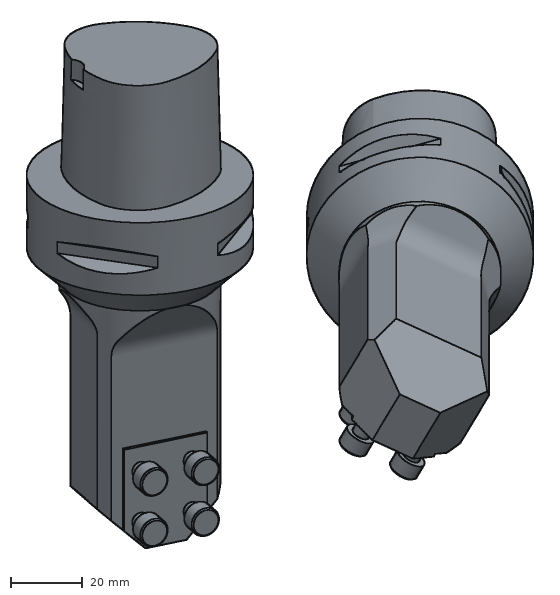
import cadquery as cq
import math

top_z = 37.8
tip_z = top_z - 144.3

lobe_radius = 15.0
lobe_offset = 8.4
flank_reach = 20.5
taper_angle = math.degrees(math.atan(1 / 40))
notch_radius = 5.0
notch_wall_y = -17.7
notch_depth = 6.2

flange_diameter = 63.0
neck_diameter = 45.0
flange_height = 22.2
cone_height = (flange_diameter - neck_diameter) / 2
neck_z = -flange_height - cone_height

groove_reach = 27.8
groove_z = -12.3
groove_floor_height = 3.5
groove_wall_angle = 30

blend_radius = 10.0
blend_top_z = -35.6
back_reach = 11.3
side_reach = 19.0
diagonal_reach = 17.5
diagonal_turn = 47.6
front_reach = 15.5
front_blend_bottom_z = -45.9
back_slope = 60
side_slope = 30
diagonal_slope = 40.5

tip_bevel_angle = 30
tip_bevel_end_x = 0
tip_half_width = 6.3

pad_thickness = 1.0
pad_height = 31.6
pad_width = 25.7
screw_heights = (8.8, 24.4)
screw_side = 8.0
screw_diameter = 5.0
screw_gap = 4.0
head_diameter = 8.5
head_length = 5.0
head_chamfer = 0.5

margin = 14.5
clearance = 1.5


def polar(radius, degrees):
    angle = math.radians(degrees)
    return radius * math.cos(angle), radius * math.sin(angle)


def taper_shank():
    half_gap = lobe_offset * math.sin(math.radians(60))
    drop = lobe_offset * math.cos(math.radians(60))
    slack = flank_reach - lobe_radius
    flank_center = (half_gap**2 + drop**2 - slack**2) / (2 * (slack - drop))
    flank_radius = flank_center + flank_reach
    half_angle = math.atan2(half_gap, flank_center + drop)
    join_x = flank_radius * math.sin(half_angle)
    join_y = flank_radius * math.cos(half_angle) - flank_center
    join_reach = math.hypot(join_x, join_y)
    join_turn = math.degrees(math.atan2(join_x, join_y))

    outline = cq.Workplane("XY").moveTo(*polar(join_reach, -90 - join_turn))
    for middle in (-90, 30, 150):
        outline = outline.threePointArc(polar(flank_reach, middle), polar(join_reach, middle + join_turn))
        outline = outline.threePointArc(
            polar(lobe_offset + lobe_radius, middle + 60),
            polar(join_reach, middle + 120 - join_turn),
        )
    shank = outline.close().extrude(top_z, taper=taper_angle)

    notch = (
        cq.Workplane("XY", origin=(0, notch_wall_y - notch_radius, top_z - notch_depth))
        .circle(notch_radius)
        .extrude(notch_depth + margin)
    )
    return shank.cut(notch)


def flange_and_neck():
    flange_radius = flange_diameter / 2
    neck_radius = neck_diameter / 2
    return (
        cq.Workplane("XZ")
        .moveTo(0, 0)
        .lineTo(flange_radius, 0)
        .lineTo(flange_radius, -flange_height)
        .lineTo(neck_radius, neck_z)
        .lineTo(neck_radius, tip_z)
        .lineTo(0, tip_z)
        .close()
        .revolve(360, (0, 0), (0, 1))
    )


def gripper_groove(turn):
    depth = flange_diameter / 2 - groove_reach + clearance
    half_floor = groove_floor_height / 2
    half_mouth = half_floor + depth * math.tan(math.radians(groove_wall_angle))
    return (
        cq.Workplane("XZ")
        .moveTo(groove_reach, groove_z - half_floor)
        .lineTo(groove_reach + depth, groove_z - half_mouth)
        .lineTo(groove_reach + depth, groove_z + half_mouth)
        .lineTo(groove_reach, groove_z + half_floor)
        .close()
        .extrude(flange_diameter / 2, both=True)
        .rotate((0, 0, 0), (0, 0, 1), turn)
    )


def neck_flat(turn, reach, slope, blend_bottom_z):
    """Material outside a flat that blends by an arc into a sloped run-out."""
    def blend_point(degrees):
        angle = math.radians(degrees)
        return (
            reach + blend_radius * (1 - math.cos(angle)),
            blend_bottom_z + blend_radius * math.sin(angle),
        )

    blend_end = blend_point(slope)
    outer = neck_diameter / 2 + clearance
    outer_z = blend_end[1] + (outer - blend_end[0]) / math.tan(math.radians(slope))
    cutter = (
        cq.Workplane("XZ")
        .moveTo(reach, tip_z - margin)
        .lineTo(reach, blend_bottom_z)
        .threePointArc(blend_point(slope / 2), blend_end)
        .lineTo(outer, outer_z)
        .lineTo(outer, tip_z - margin)
        .close()
        .extrude(neck_diameter, both=True)
    )
    below_cone = cq.Workplane("XY", origin=(0, 0, neck_z)).circle(flange_diameter).extrude(2 * tip_z)
    return cutter.intersect(below_cone).rotate((0, 0, 0), (0, 0, 1), turn)


def leading_flat(turn, reach, slope):
    blend_height = blend_radius * math.sin(math.radians(slope))
    return neck_flat(turn, reach, slope, blend_top_z - blend_height)


def tip_bevel():
    height = (back_reach + tip_bevel_end_x) / math.tan(math.radians(tip_bevel_angle))
    return (
        cq.Workplane("XZ")
        .moveTo(tip_bevel_end_x, tip_z)
        .lineTo(-back_reach, tip_z + height)
        .lineTo(-back_reach, tip_z)
        .close()
        .extrude(neck_diameter, both=True)
    )


def tip_chamfer(side):
    size = neck_diameter / 2
    return (
        cq.Workplane("YZ")
        .moveTo(side * tip_half_width, tip_z)
        .lineTo(side * (tip_half_width + size), tip_z + size)
        .lineTo(side * (tip_half_width + size), tip_z)
        .close()
        .extrude(neck_diameter, both=True)
    )


def pad():
    return cq.Workplane("XY").box(pad_thickness, pad_width, pad_height, centered=(False, True, False)).translate(
        (front_reach, 0, tip_z)
    )


def screw(y, height):
    face_x = front_reach + pad_thickness
    stem = cq.Workplane("YZ", origin=(face_x, y, tip_z + height)).circle(screw_diameter / 2).extrude(screw_gap)
    head = (
        cq.Workplane("YZ", origin=(face_x + screw_gap, y, tip_z + height))
        .circle(head_diameter / 2)
        .extrude(head_length)
        .faces(">X")
        .chamfer(head_chamfer)
    )
    return stem.union(head)


body = flange_and_neck()
for groove_turn in (45, 135, 225, 315):
    body = body.cut(gripper_groove(groove_turn))

body = body.cut(leading_flat(180, back_reach, back_slope))
for side in (-1, 1):
    body = body.cut(leading_flat(side * 90, side_reach, side_slope))
    body = body.cut(leading_flat(180 + side * diagonal_turn, diagonal_reach, diagonal_slope))
body = body.cut(neck_flat(0, front_reach, side_slope, front_blend_bottom_z))

body = body.union(pad()).cut(tip_bevel())
for side in (-1, 1):
    body = body.cut(tip_chamfer(side))
for screw_height in screw_heights:
    for side in (-1, 1):
        body = body.union(screw(side * screw_side, screw_height))

result = body.union(taper_shank())